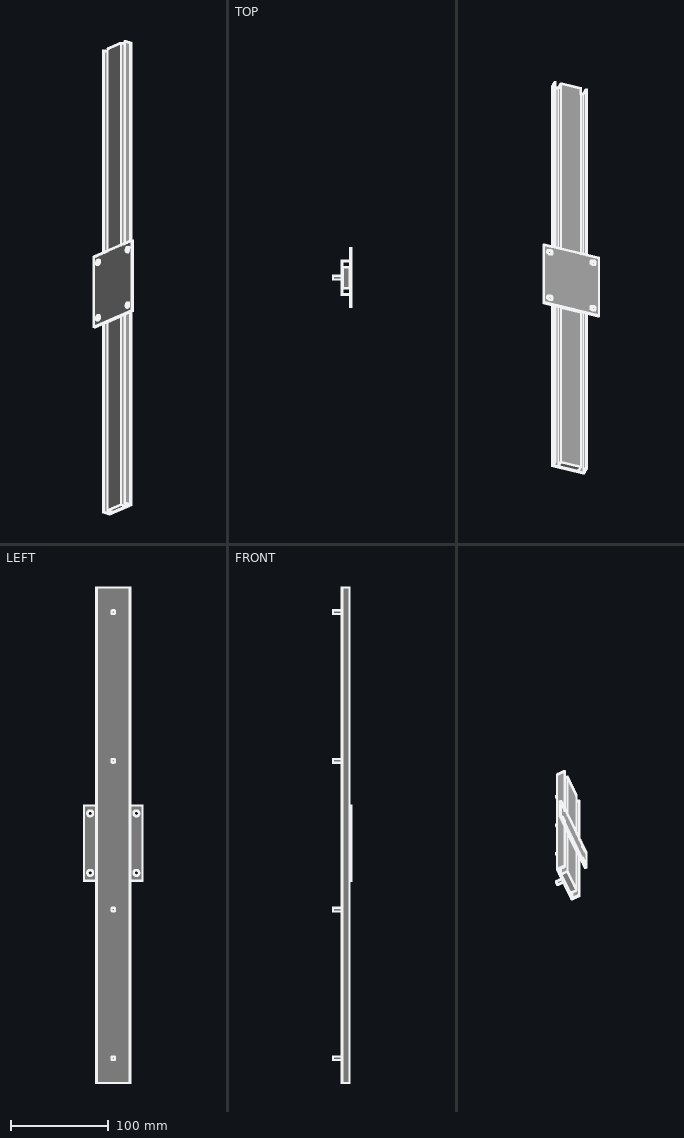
import cadquery as cq

rail_length = 508.0
rail_width = 35.0
rail_depth = 8.5
wall = 1.0

stud_diameter = 4.0
stud_projection = 8.5
stud_pitch = 152.5
stud_count = 4

overall_depth = 19.5
bar_width = 22.0
bar_gap = 0.5
bar_thickness = 7.0
plate_width = 60.5
plate_height = 77.0
plate_thickness = 1.5
plate_center_z = -8.0
hole_diameter = 5.5
hole_spacing_y = 47.0
hole_spacing_z = 61.0

plate_back_x = overall_depth - stud_projection
plate_front_x = plate_back_x - plate_thickness
bar_front_x = wall + bar_gap
bar_back_x = bar_front_x + bar_thickness
stud_heights = [(i - (stud_count - 1) / 2) * stud_pitch for i in range(stud_count)]


def block(x_start, x_end, width, height, center_z=0.0):
    """Block between two X positions, centred on Y = 0 and on center_z."""
    return (
        cq.Workplane("XY")
        .box(x_end - x_start, width, height)
        .translate(((x_start + x_end) / 2, 0, center_z))
    )


def make_channel():
    """U-shaped channel with a seat through the web for each stud."""
    channel = block(0, rail_depth, rail_width, rail_length)
    channel = channel.cut(block(wall, rail_depth, rail_width - 2 * wall, rail_length))
    for z in stud_heights:
        channel = channel.cut(make_stud(z))
    return channel


def make_stud(z):
    """Round stud, ending flush with the inner face of the web."""
    return (
        cq.Workplane("YZ", origin=(-stud_projection, 0, z))
        .circle(stud_diameter / 2)
        .extrude(stud_projection + wall)
    )


def make_carriage():
    """Bar just clear of the web, joined to the drilled plate by a spacer as wide as the bar."""
    bar = block(bar_front_x, bar_back_x, bar_width, rail_length)
    spacer = block(bar_back_x, plate_front_x, bar_width, plate_height, plate_center_z)
    plate = block(plate_front_x, plate_back_x, plate_width, plate_height, plate_center_z)
    holes = (
        cq.Workplane("YZ", origin=(plate_front_x, 0, plate_center_z))
        .rect(hole_spacing_y, hole_spacing_z, forConstruction=True)
        .vertices()
        .circle(hole_diameter / 2)
        .extrude(plate_thickness)
    )
    return bar.union(spacer).union(plate.cut(holes))


channel = make_channel()
studs = [make_stud(z) for z in stud_heights]
carriage = make_carriage()

result = cq.Compound.makeCompound(
    [channel.val(), carriage.val(), *[stud.val() for stud in studs]]
)